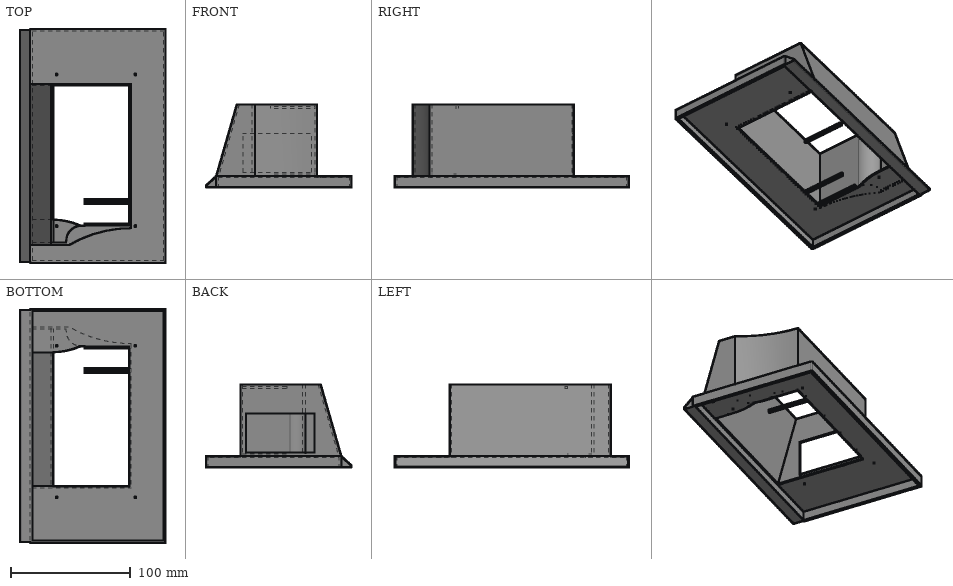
import cadquery as cq
import math

plate_width = 195.5
plate_height = 9.4
plate_corner_radius = 0.88
sheet_thickness = 1.0
skirt_thickness = 2.0

total_length = 121.6
lip_angle = 43.0
nose_radius = 1.0

screw_diameter = 1.0
screw_left_x = 22.0
screw_right_x = 87.8
screw_front_y = -66.9
screw_back_y = 59.6

total_height = 69.2
wall = 1.5
front_wall = 2.0
housing_right = 84.3
housing_front = -82.7
housing_back = 51.8
lean = 17.2
left_wall = 2.2

swoop_start_x = 32.5
swoop_end_y = -68.6
block_left = 30.1
block_back = -66.5
block_corner_radius = 13.0

corner_sheet_top_y = -61.4
corner_sheet_arc_start_x = 18.4
corner_sheet_arc_end_x = 42.0

window_margin = 3.1
window_left = 22.5
window_bottom = 12.3
window_top = 45.0

rail_size = 2.0
rail_left = 45.5
upper_rail_y = -46.3
upper_rail_drop = 1.5

wedge_length = plate_height / math.tan(math.radians(lip_angle))
nose_setback = nose_radius / math.tan(math.radians(lip_angle / 2)) - nose_radius
plate_length = total_length - (wedge_length - nose_setback)

housing_height = total_height - plate_height
inner_right = housing_right - wall
inner_front = housing_front + front_wall
inner_back = housing_back - wall


def tangent_arc_middle(flat_end, other_end):
    """Middle point of the arc that runs along X at flat_end and passes other_end."""
    run = other_end[0] - flat_end[0]
    drop = flat_end[1] - other_end[1]
    radius = (run**2 + drop**2) / (2 * drop)
    half_turn = math.asin(abs(run) / radius) / 2
    middle_x = flat_end[0] + math.copysign(radius * math.sin(half_turn), run)
    return middle_x, flat_end[1] - radius * (1 - math.cos(half_turn))


def box(x_range, y_range, z_range):
    """Box between the given (start, end) limits along each axis."""
    size = [end - start for start, end in (x_range, y_range, z_range)]
    return (
        cq.Workplane("XY")
        .box(*size, centered=False)
        .translate((x_range[0], y_range[0], z_range[0]))
    )


def make_lip():
    """Wedge as wide as the flat part of the plate's left side."""
    width = plate_width - 2 * plate_corner_radius
    return (
        cq.Workplane("XZ")
        .moveTo(0, 0)
        .lineTo(-wedge_length, 0)
        .lineTo(0, plate_height)
        .close()
        .extrude(width / 2, both=True)
        .edges("<X")
        .fillet(nose_radius)
    )


def sheet_opening():
    """Opening inside the housing walls, less a rounded piece of sheet at the front left."""
    arc_start = (corner_sheet_arc_start_x, corner_sheet_top_y)
    arc_end = (corner_sheet_arc_end_x, block_back)
    return (
        cq.Workplane("XY")
        .moveTo(left_wall, inner_back)
        .lineTo(left_wall, corner_sheet_top_y)
        .lineTo(*arc_start)
        .threePointArc(tangent_arc_middle(arc_start, arc_end), arc_end)
        .lineTo(inner_right, block_back)
        .lineTo(inner_right, inner_back)
        .close()
        .extrude(plate_height)
    )


def make_plate():
    """Hollow plate with its lip, opening and screw holes."""
    half_width = plate_width / 2
    tray = box((0, plate_length), (-half_width, half_width), (0, plate_height))
    tray = tray.edges("|Z").fillet(plate_corner_radius)
    hollow = box(
        (skirt_thickness, plate_length - skirt_thickness),
        (skirt_thickness - half_width, half_width - skirt_thickness),
        (0, plate_height - sheet_thickness),
    )
    screw_places = [
        (x, y)
        for x in (screw_left_x, screw_right_x)
        for y in (screw_front_y, screw_back_y)
    ]
    screw_holes = (
        cq.Workplane("XY")
        .pushPoints(screw_places)
        .circle(screw_diameter / 2)
        .extrude(plate_height)
    )
    return tray.cut(hollow).union(make_lip()).cut(sheet_opening()).cut(screw_holes)


def leaning_prism(bottom_left):
    """Side profile with the leaning left edge, as deep as the housing reaches along Y."""
    return (
        cq.Workplane("XZ", origin=(0, housing_back, 0))
        .moveTo(bottom_left, plate_height)
        .lineTo(housing_right, plate_height)
        .lineTo(housing_right, total_height)
        .lineTo(bottom_left + lean, total_height)
        .close()
        .extrude(housing_back - housing_front)
    )


def housing_block():
    """Outside of the housing before its left side is cut to lean."""
    swoop_start = (swoop_start_x, housing_front)
    swoop_end = (housing_right, swoop_end_y)
    return (
        cq.Workplane("XY", origin=(0, 0, plate_height))
        .moveTo(0, housing_back)
        .lineTo(0, housing_front)
        .lineTo(*swoop_start)
        .threePointArc(tangent_arc_middle(swoop_end, swoop_start), swoop_end)
        .lineTo(housing_right, housing_back)
        .close()
        .extrude(housing_height)
    )


def cavity_block():
    """Inside of the housing, around the rounded solid block at the front right."""
    cavity = box((0, inner_right), (inner_front, inner_back), (plate_height, total_height))
    block = box(
        (block_left, housing_right), (housing_front, block_back), (plate_height, total_height)
    )
    block = block.edges("|Z and <X and >Y").fillet(block_corner_radius)
    return cavity.cut(block)


def make_rail(y, z):
    """Rail whose front lower edge is at y, z."""
    return box((rail_left, inner_right), (y, y + rail_size), (z, z + rail_size))


def make_housing():
    """Open-topped housing with its window and guide rails."""
    outside = housing_block().intersect(leaning_prism(0))
    cavity = cavity_block().intersect(leaning_prism(left_wall))
    window = box(
        (window_left, inner_right - window_margin),
        (inner_back, housing_back),
        (window_bottom, window_top),
    )
    housing = outside.cut(cavity).cut(window)
    rail_places = [
        (upper_rail_y, total_height - upper_rail_drop - rail_size),
        (upper_rail_y - rail_size, plate_height),
        (block_back, plate_height),
    ]
    for y, z in rail_places:
        housing = housing.union(make_rail(y, z))
    return housing


plate = make_plate()
housing = make_housing()
result = cq.Compound.makeCompound([plate.val(), housing.val()])